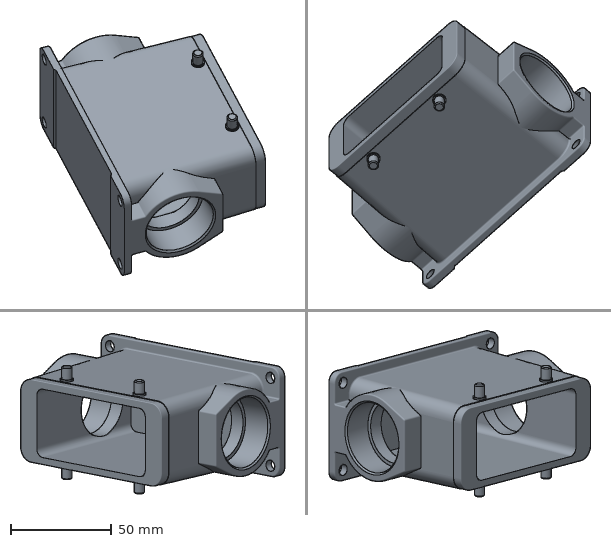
import cadquery as cq
import math

PLATE_LENGTH = 117.0
PLATE_HEIGHT = 56.2
PLATE_THICKNESS = 4.2
PLATE_CORNER_RADIUS = 5.2
SCREW_HOLE_DIAMETER = 5.6
SCREW_HOLE_X = 52.5
SCREW_HOLE_Z = 22.5
RELIEF_DEPTH = 0.9
RELIEF_HALF_WIDTH = 39.6
RELIEF_SLOPE_RUN = 1.3

TOTAL_DEPTH = 80.28
SHOULDER_Y = 75.0
BASE_LENGTH = 95.5
BASE_HEIGHT = 45.5
DRAFT_ANGLE = 1.0
BODY_CORNER_RADIUS = 7.5
COLLAR_LENGTH = 92.6
COLLAR_HEIGHT = 42.4
COLLAR_CORNER_RADIUS = 7.0
COLLAR_EDGE_RADIUS = 0.4

CAVITY_LENGTH = 71.0
CAVITY_HEIGHT = 35.0
CAVITY_FLOOR_Y = 8.0
CAVITY_CORNER_RADIUS = 4.0

ENTRY_Y = 30.0
BOSS_RADIUS = 22.25
BOSS_INNER_X = 40.0
BOSS_FLAT_Y = 52.8
BOSS_FLAT_HALF_HEIGHT = 13.5
NECK_HALF_HEIGHT = 12.3
BOSS_CORNER_RADIUS = 1.0
BASE_FILLET = 0.8
OUTER_EDGE_RADIUS = 0.7
ENTRY_BORE_DIAMETER = 32.0
GLAND_BORE_DIAMETER = 35.8
GLAND_BORE_DEPTH = 15.5
GLAND_CHAMFER = 0.9
GLAND_CHAMFER_ANGLE = 45.0

PEG_X = 23.75
PEG_Y = 71.0
PEG_DIAMETER = 5.2
PEG_SPAN = 57.63
PEG_TIP_Z = PEG_SPAN / 2
PEG_CHAMFER = 0.6
PEG_FLANGE_DIAMETER = 6.6
PEG_FLANGE_Z = 22.4
PEG_ROOT_Z = 18.5

EDGE_MARGIN = 0.1


def rounded_prism(length, height, radius, y_start, y_end):
    """Rounded rectangle in XZ, extruded from y_start to y_end."""
    prism = cq.Workplane("XY").box(length, y_end - y_start, height)
    return prism.edges("|Y").fillet(radius).translate((0, (y_start + y_end) / 2, 0))


def x_cylinder(diameter, x_start, x_end):
    """Cylinder on the cable entry axis."""
    plane = cq.Workplane("YZ", origin=(x_start, ENTRY_Y, 0))
    return plane.circle(diameter / 2).extrude(x_end - x_start)


def entry_boss():
    """Boss on the +X end: round below, tapering to a flat, with a neck to the plate."""
    corner_dy = BOSS_FLAT_Y - ENTRY_Y
    corner_distance = math.hypot(corner_dy, BOSS_FLAT_HALF_HEIGHT)
    tangent_angle = math.atan2(BOSS_FLAT_HALF_HEIGHT, corner_dy) + math.acos(BOSS_RADIUS / corner_distance)
    tangent_y = ENTRY_Y + BOSS_RADIUS * math.cos(tangent_angle)
    tangent_z = BOSS_RADIUS * math.sin(tangent_angle)
    neck_y = ENTRY_Y - math.sqrt(BOSS_RADIUS**2 - NECK_HALF_HEIGHT**2)

    outline = (
        cq.Workplane("YZ", origin=(BOSS_INNER_X, 0, 0))
        .moveTo(0, -NECK_HALF_HEIGHT)
        .lineTo(neck_y, -NECK_HALF_HEIGHT)
        .threePointArc((ENTRY_Y, -BOSS_RADIUS), (tangent_y, -tangent_z))
        .lineTo(BOSS_FLAT_Y, -BOSS_FLAT_HALF_HEIGHT)
        .lineTo(BOSS_FLAT_Y, BOSS_FLAT_HALF_HEIGHT)
        .lineTo(tangent_y, tangent_z)
        .threePointArc((ENTRY_Y, BOSS_RADIUS), (neck_y, NECK_HALF_HEIGHT))
        .lineTo(0, NECK_HALF_HEIGHT)
        .close()
    )
    boss = outline.extrude(PLATE_LENGTH / 2 - BOSS_INNER_X)
    boss_middle_x = (BOSS_INNER_X + PLATE_LENGTH / 2) / 2
    for y, z in ((BOSS_FLAT_Y, BOSS_FLAT_HALF_HEIGHT), (neck_y, NECK_HALF_HEIGHT)):
        for corner_z in (-z, z):
            corner = cq.selectors.NearestToPointSelector((boss_middle_x, y, corner_z))
            boss = boss.edges("|X").edges(corner).fillet(BOSS_CORNER_RADIUS)
    return boss


def drafted_body():
    """Housing body, narrowing from the plate to the shoulder."""
    plane = cq.Workplane("XZ", origin=(0, PLATE_THICKNESS, 0))
    block = plane.rect(BASE_LENGTH, BASE_HEIGHT).extrude(PLATE_THICKNESS - SHOULDER_Y, taper=DRAFT_ANGLE)
    return block.edges("not #Y").fillet(BODY_CORNER_RADIUS)


def plate_with_body():
    """Plate, body and both bosses in one, with a filleted foot and a rounded outer rim."""
    part = rounded_prism(PLATE_LENGTH, PLATE_HEIGHT, PLATE_CORNER_RADIUS, 0, PLATE_THICKNESS)
    boss = entry_boss()
    part = part.union(drafted_body()).union(boss).union(boss.mirror("YZ")).clean()

    half_length = PLATE_LENGTH / 2
    straight_half_height = PLATE_HEIGHT / 2 - PLATE_CORNER_RADIUS
    foot_region = cq.selectors.BoxSelector(
        (EDGE_MARGIN - half_length, PLATE_THICKNESS - EDGE_MARGIN, -straight_half_height),
        (half_length - EDGE_MARGIN, PLATE_THICKNESS + EDGE_MARGIN, straight_half_height),
    )
    part = part.edges(foot_region).fillet(BASE_FILLET)

    rim_region = cq.selectors.BoxSelector(
        (-PLATE_LENGTH, EDGE_MARGIN, EDGE_MARGIN - straight_half_height),
        (PLATE_LENGTH, TOTAL_DEPTH, straight_half_height - EDGE_MARGIN),
    )
    return part.faces("<X or >X").edges(rim_region).fillet(OUTER_EDGE_RADIUS)


def collar():
    """Stepped-in rim at the mating end."""
    rim = rounded_prism(COLLAR_LENGTH, COLLAR_HEIGHT, COLLAR_CORNER_RADIUS, SHOULDER_Y, TOTAL_DEPTH)
    return rim.faces(">Y").edges().fillet(COLLAR_EDGE_RADIUS)


def cut_cavity(part):
    """Contact chamber, open at the mating end."""
    cavity = rounded_prism(CAVITY_LENGTH, CAVITY_HEIGHT, CAVITY_CORNER_RADIUS, CAVITY_FLOOR_Y, TOTAL_DEPTH)
    return part.cut(cavity)


def cut_cable_entries(part):
    """Through bore along X, with a chamfered gland bore at each end."""
    half_length = PLATE_LENGTH / 2
    part = part.cut(x_cylinder(ENTRY_BORE_DIAMETER, -half_length, half_length))
    gland = x_cylinder(GLAND_BORE_DIAMETER, half_length - GLAND_BORE_DEPTH, half_length)
    lead_in = (
        cq.Workplane("YZ", origin=(half_length, ENTRY_Y, 0))
        .circle(GLAND_BORE_DIAMETER / 2 + GLAND_CHAMFER)
        .extrude(-GLAND_CHAMFER, taper=GLAND_CHAMFER_ANGLE)
    )
    gland = gland.union(lead_in)
    return part.cut(gland).cut(gland.mirror("YZ"))


def cut_screw_holes(part):
    hole = cq.Workplane("XZ").circle(SCREW_HOLE_DIAMETER / 2).extrude(-PLATE_THICKNESS)
    for x in (-SCREW_HOLE_X, SCREW_HOLE_X):
        for z in (-SCREW_HOLE_Z, SCREW_HOLE_Z):
            part = part.cut(hole.translate((x, 0, z)))
    return part


def cut_mounting_relief(part):
    """Shallow recess across the middle of the mounting face, with sloped ends."""
    inner = RELIEF_HALF_WIDTH - RELIEF_SLOPE_RUN
    relief = (
        cq.Workplane("XY")
        .polyline(
            [
                (-RELIEF_HALF_WIDTH, 0),
                (-inner, RELIEF_DEPTH),
                (inner, RELIEF_DEPTH),
                (RELIEF_HALF_WIDTH, 0),
            ]
        )
        .close()
        .extrude(PLATE_HEIGHT / 2, both=True)
    )
    return part.cut(relief)


def peg():
    """Locking peg on a small round flange, pointing to +Z."""
    plane = cq.Workplane("XY", origin=(0, PEG_Y, PEG_ROOT_Z))
    pin = plane.circle(PEG_DIAMETER / 2).extrude(PEG_TIP_Z - PEG_ROOT_Z)
    pin = pin.faces(">Z").edges().chamfer(PEG_CHAMFER)
    flange = plane.circle(PEG_FLANGE_DIAMETER / 2).extrude(PEG_FLANGE_Z - PEG_ROOT_Z)
    return pin.union(flange)


def add_pegs(part):
    for x in (-PEG_X, PEG_X):
        upper_peg = peg().translate((x, 0, 0))
        part = part.union(upper_peg).union(upper_peg.mirror("XY"))
    return part


result = plate_with_body().union(collar())
result = cut_cavity(result)
result = cut_cable_entries(result)
result = cut_screw_holes(result)
result = cut_mounting_relief(result)
result = add_pegs(result)